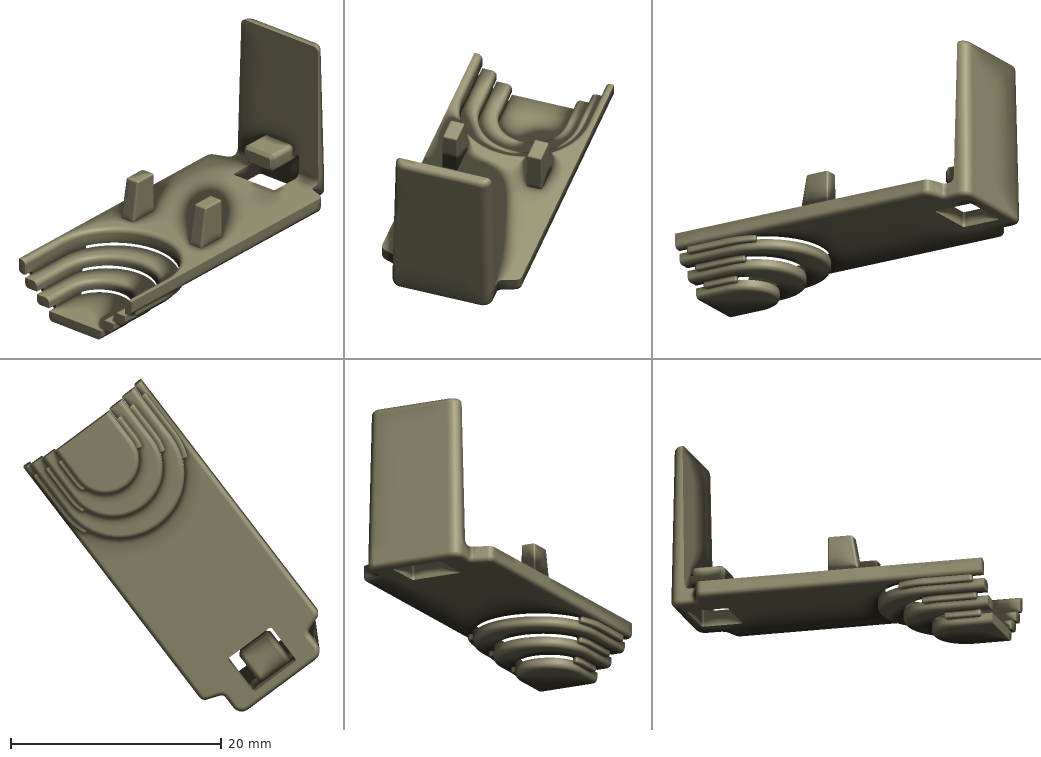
import cadquery as cq
import math


length = 31.53
plate_width = 14.0
plate_thickness = 1.5
shoulder_start = 28.25
shoulder_angle = 20.0
shoulder_outer_radius = 0.63
shoulder_inner_radius = 0.5
bottom_round = 0.47

wall_width = 10.03
wall_thickness = 1.5
wall_height = 14.45
wall_draft = 1.0
wall_corner_radius = 1.0
wall_top_round = 0.5
wall_root_radius = 0.5

slot_width = 5.17
slot_front = 26.4
slot_back = 30.45
slot_top = 2.2
slot_corner_radius = 0.25

latch_width = 3.72
latch_front = 27.0
latch_half_height = 0.9
latch_draft = 1.0
latch_round = 0.5
latch_chamfer = 0.3

post_offset = 4.23
post_width = 1.58
post_draft = 1.0
post_height = 4.0
post_back = 15.85
post_depth_bottom = 3.15
post_depth_top = 2.43
post_round = 0.2

arch_radii = [6.2, 4.75, 3.25]
arch_centers = [5.83, 4.8, 3.55]
opening_round = 0.5
step_thickness = 1.0
step_gap = 0.28

web_width = 0.5
web_overlap = 0.3
web_round = 0.22
web_root_radius = 0.1
web_start = 1.07
web_angles = [24.0, 20.0, 19.0]

wall_front = length - wall_thickness


def arch_sketch(radius, center, z):
    """Round-ended tongue outline that starts at the front end."""
    return (
        cq.Workplane("XY", origin=(0, 0, z))
        .moveTo(-radius, 0)
        .lineTo(radius, 0)
        .lineTo(radius, center)
        .threePointArc((0, center + radius), (-radius, center))
        .close()
    )


def cut_opening(body, radius, center, top, depth):
    """Cut an arched opening and round its upper rim."""
    body = body.cut(arch_sketch(radius, center, top - depth).extrude(depth))
    margin = 0.03
    rim_zone = cq.selectors.BoxSelector(
        (-radius - margin, margin, top - margin),
        (radius + margin, center + radius + margin, top + margin),
    )
    return body.faces(">Z").edges(rim_zone).fillet(opening_round)


def make_plate():
    half = plate_width / 2
    neck = wall_width / 2
    shoulder_end = shoulder_start + (half - neck) * math.tan(math.radians(shoulder_angle))
    outline = [
        (-half, 0),
        (half, 0),
        (half, shoulder_start),
        (neck, shoulder_end),
        (neck, length),
        (-neck, length),
        (-neck, shoulder_end),
        (-half, shoulder_start),
    ]
    plate = cq.Workplane("XY").polyline(outline).close().extrude(-plate_thickness)

    for x, y, radius in [
        (half, shoulder_start, shoulder_outer_radius),
        (neck, shoulder_end, shoulder_inner_radius),
        (neck, length, wall_corner_radius),
    ]:
        for side in (-1, 1):
            corner = cq.selectors.NearestToPointSelector((side * x, y, -plate_thickness / 2))
            plate = plate.edges("|Z").edges(corner).fillet(radius)
    return plate.faces("<Z").edges("not <Y").fillet(bottom_round)


def make_wall():
    wall = (
        cq.Workplane("XY")
        .center(0, length - wall_thickness / 2)
        .rect(wall_width, wall_thickness)
        .extrude(wall_height, taper=wall_draft)
    )
    wall = wall.faces(">Y").edges("not |X").fillet(wall_corner_radius)
    return wall.faces(">Z").edges("not <Y").fillet(wall_top_round)


def make_wall_root():
    """Concave strip between the wall and the plate."""
    size = wall_root_radius
    block = cq.Workplane("XY").box(wall_width, 2 * size, size, centered=(True, False, False))
    block = block.translate((0, wall_front - size, 0))
    hollow = (
        cq.Workplane("YZ", origin=(-wall_width / 2, 0, 0))
        .center(wall_front - size, size)
        .circle(size)
        .extrude(wall_width)
    )
    return block.cut(hollow)


def make_slot():
    depth = slot_back - slot_front
    return (
        cq.Workplane("XY", origin=(0, slot_front + depth / 2, -plate_thickness))
        .rect(slot_width, depth)
        .extrude(plate_thickness + slot_top)
        .edges("|Z")
        .fillet(slot_corner_radius)
    )


def make_latch():
    """Block that narrows both ways from a parting plane; its rear end is buried in the wall."""
    reach = length - wall_thickness / 2 - latch_front
    plan = cq.Workplane("XY", origin=(0, latch_front + reach / 2, slot_top)).rect(latch_width, reach)
    upper = plan.extrude(latch_half_height, taper=latch_draft)
    upper = upper.faces(">Z").edges("not |X").fillet(latch_round)
    upper = upper.faces("<Y").edges("not <Z").chamfer(latch_chamfer)
    return upper.union(upper.mirror("XY", (0, 0, slot_top)))


def make_post(x):
    width_top = post_width - 2 * post_height * math.tan(math.radians(post_draft))
    return (
        cq.Workplane("XY", origin=(x, post_back, 0))
        .center(0, -post_depth_bottom / 2)
        .rect(post_width, post_depth_bottom)
        .workplane(offset=post_height)
        .center(0, (post_depth_bottom - post_depth_top) / 2)
        .rect(width_top, post_depth_top)
        .loft()
        .edges("not <Z")
        .fillet(post_round)
    )


def make_step(radius, center, top):
    step = arch_sketch(radius, center, top - step_thickness).extrude(step_thickness)
    return step.faces("<Z").edges("not <Y").fillet(bottom_round)


def make_web(radius, center, angle, step_top, side):
    """Strip along one side of a step, reaching from the step above down beside this one."""
    outer = radius + web_width

    def on_arc(r, degrees):
        turn = math.radians(degrees)
        return (side * r * math.cos(turn), center + r * math.sin(turn))

    height = web_overlap + step_gap + bottom_round
    web = (
        cq.Workplane("XY", origin=(0, 0, step_top - web_overlap))
        .moveTo(side * radius, web_start)
        .lineTo(side * outer, web_start)
        .lineTo(side * outer, center)
        .threePointArc(on_arc(outer, angle / 2), on_arc(outer, angle))
        .lineTo(*on_arc(radius, angle))
        .threePointArc(on_arc(radius, angle / 2), (side * radius, center))
        .close()
        .extrude(height)
    )
    bottom = step_top - web_overlap
    rounded_places = [
        (side * outer, web_start, bottom + height / 2),
        (*on_arc(outer, angle), bottom + height / 2),
        (side * outer, (web_start + center) / 2, bottom),
    ]
    for place in rounded_places:
        web = web.edges(cq.selectors.NearestToPointSelector(place)).fillet(web_round)
    return web


def round_web_root(body, radius, center, ceiling, side):
    """Blend the top of a web into the flat underside of the step above."""
    margin = 0.03
    root_zone = cq.selectors.BoxSelector(
        (side * 0.9 * radius, web_start - margin, ceiling - margin),
        (side * (radius + web_width + margin), center + radius, ceiling + margin),
    )
    return body.edges(root_zone).fillet(web_root_radius)


plate = cut_opening(make_plate(), arch_radii[0], arch_centers[0], 0, plate_thickness)
result = plate.union(make_wall()).union(make_wall_root())
result = result.cut(make_slot()).union(make_latch())
for side in (-1, 1):
    result = result.union(make_post(side * post_offset))

step_top = -plate_thickness - step_gap
for index, (radius, center, angle) in enumerate(zip(arch_radii, arch_centers, web_angles)):
    step = make_step(radius, center, step_top)
    if index + 1 < len(arch_radii):
        step = cut_opening(step, arch_radii[index + 1], arch_centers[index + 1], step_top, step_thickness)
    result = result.union(step)
    for side in (-1, 1):
        result = result.union(make_web(radius, center, angle, step_top, side))
        if index > 0:
            result = round_web_root(result, radius, center, step_top + step_gap, side)
    step_top -= step_thickness + step_gap